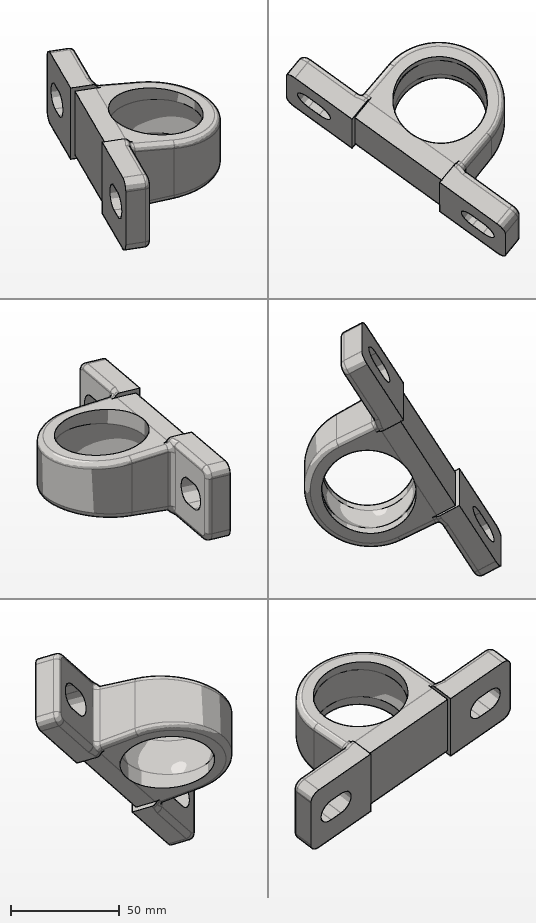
import cadquery as cq


base_length = 127.0
base_height = 12.1
foot_width = 38.1
foot_gap = 50.8
foot_corner_radius = 5.0
blend_radius = 2.5

slot_length = 19.0
slot_width = 12.8
slot_spacing = 95.0

axis_height = 33.3
housing_radius = 29.7
housing_edge_radius = 2.9
underside_height = 2.0
root_width = 34.0
crown_width = 26.2

bore_radius = 21.7
seat_radius = 23.5

crown_height = axis_height + housing_radius
taper = (root_width - crown_width) / (crown_height - base_height)
bottom_width = root_width + taper * base_height

overshoot = 2.5
reach = 0.1


def block(length, height, width):
    """Box standing on the mounting face, centred in X and Z."""
    return cq.Workplane("XY").box(length, height, width, centered=(True, False, True))


def edge_zone(x_range, y_range, z_range):
    """Selector for the edges whose centre lies within the given ranges."""
    low, high = zip(x_range, y_range, z_range)
    return cq.selectors.BoxSelector(low, high)


def around(value):
    return (value - reach, value + reach)


def across(size):
    return (-size / 2 - reach, size / 2 + reach)


def make_housing():
    """Arch tapering towards the crown, with the rims of both faces rounded."""
    arch = (
        cq.Workplane("XY")
        .moveTo(-housing_radius, 0)
        .lineTo(-housing_radius, axis_height)
        .threePointArc((0, crown_height), (housing_radius, axis_height))
        .lineTo(housing_radius, 0)
        .close()
        .extrude(bottom_width / 2, both=True)
    )
    wedge = (
        cq.Workplane("YZ")
        .polyline([
            (0, -bottom_width / 2),
            (crown_height, -crown_width / 2),
            (crown_height, crown_width / 2),
            (0, bottom_width / 2),
        ])
        .close()
        .extrude(housing_radius, both=True)
    )
    housing = arch.intersect(wedge)
    above_mounting_face = (reach, crown_height)
    for side in (-1, 1):
        thickness_range = (side * (crown_width / 2 - reach), side * bottom_width / 2)
        rim = edge_zone(across(2 * housing_radius), above_mounting_face, thickness_range)
        housing = housing.edges(rim).fillet(housing_edge_radius)
    return housing


def blend_onto_feet(housing):
    """Housing on a rounded base plate that still runs through between the feet."""
    plate = block(base_length, base_height, foot_width + 2 * overshoot)
    body = housing.union(plate)
    root_edges = edge_zone(across(2 * housing_radius), around(base_height), across(root_width))
    body = body.edges(root_edges).fillet(blend_radius)

    outline = block(base_length, crown_height, foot_width).edges("|Y").fillet(foot_corner_radius)
    return body.intersect(outline)


def open_foot_gap(body, housing):
    """Replace the plate between the feet with the bare housing, relieved underneath."""
    body = body.cut(block(foot_gap, crown_height, foot_width))
    web = block(foot_gap, crown_height, root_width).translate((0, underside_height, 0))
    return body.union(housing.intersect(web))


def round_foot_tops(body):
    """Round the outer top edges of both feet."""
    top = around(base_height)
    for side in (-1, 1):
        foot_range = (side * foot_gap / 2, side * base_length / 2)
        end_range = (side * (base_length / 2 - foot_corner_radius), side * (base_length / 2 + reach))
        rim = (
            edge_zone(foot_range, top, around(-foot_width / 2))
            + edge_zone(end_range, top, across(foot_width))
            + edge_zone(foot_range, top, around(foot_width / 2))
        )
        body = body.edges(rim).fillet(blend_radius)
    return body


def cut_bearing_seat(body):
    """Through bore with a spherical seat inside."""
    bore = cq.Workplane("XY").center(0, axis_height).circle(bore_radius).extrude(foot_width / 2, both=True)
    seat = cq.Workplane("XY").sphere(seat_radius).translate((0, axis_height, 0))
    return body.cut(bore).cut(seat)


def cut_bolt_slots(body):
    """One slot through each foot, at right angles to the mounting face."""
    slots = (
        cq.Workplane("XZ")
        .pushPoints([(-slot_spacing / 2, 0), (slot_spacing / 2, 0)])
        .slot2D(slot_length, slot_width)
        .extrude(-base_height - overshoot)
    )
    return body.cut(slots)


housing = make_housing()
body = blend_onto_feet(housing)
body = open_foot_gap(body, housing)
body = round_foot_tops(body)
body = cut_bearing_seat(body)
result = cut_bolt_slots(body)